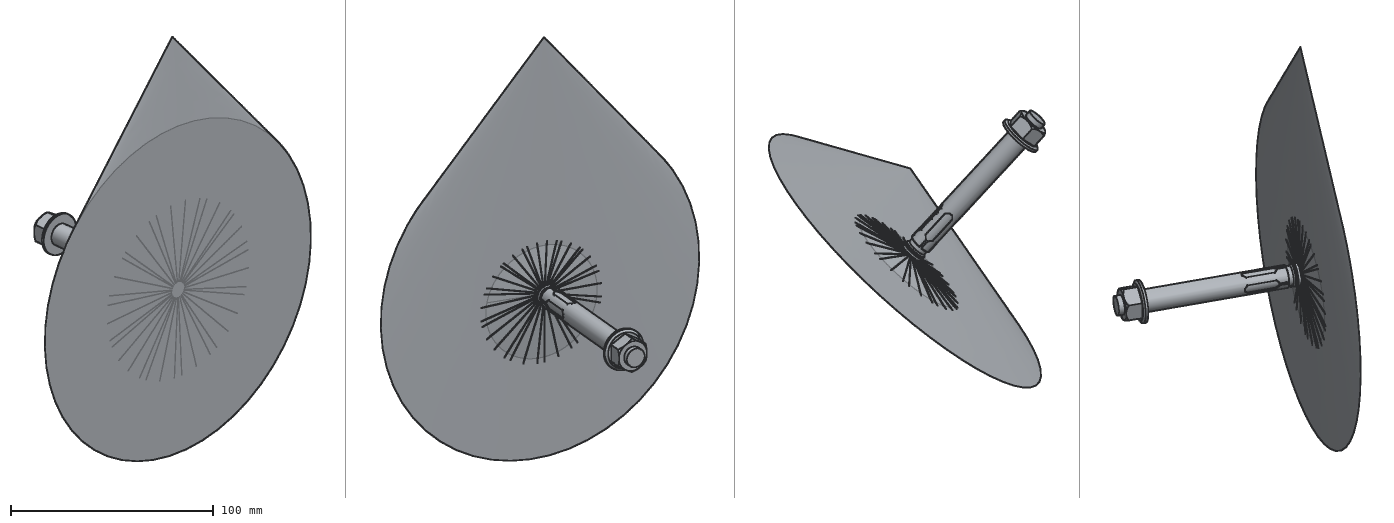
import cadquery as cq
import math

overall_height = 226
overall_length = 99.0
stud_diameter = 10.0

disc_diameter = 178.9
disc_radius = disc_diameter / 2
tip_height = overall_height - disc_radius
tip_rise = 4.0

boss_rise = 4.5
boss_slope = 0.1
rib_rise = 0.2
rib_width = 0.2
rib_inner_radius = 4.3
rib_step = 12
rib_runs = ((84, 2), (66, 3), (38, 3), (8, 3), (-21, 4), (-63, 3))

neck_diameter = 8.8
collar_diameter = 11.5
collar_end = -5.2
collar_length = 3.8
collar_taper_length = 1.0
collar_groove_width = 0.7
collar_groove_depth = 0.35

sleeve_diameter = 11.5
sleeve_bore = 10.2
sleeve_end = -11.5
slot_count = 4
slot_start = -34.4
slot_end = -16.5
slot_width = 4.7
slot_corner = 1.5
slit_width = 1.1

nut_start = -96.0
nut_end = -85.7
nut_across_flats = 15.5
nut_chamfer = 1.1
flange_diameter = 21.7
flange_rim = 1.4
flange_slope_length = 1.0
flange_top_diameter = 19.0


def cylinder_x(diameter, start, end):
    return cq.Workplane("YZ", origin=(start, 0, 0)).circle(diameter / 2).extrude(end - start)


def shallow_cone(rise):
    """Cone of the boss slope, with its base at x = 0 and its point toward -X."""
    return (
        cq.Workplane("XY")
        .polyline([(0, 0), (-rise, 0), (0, rise / boss_slope)])
        .close()
        .revolve(360, (0, 0, 0), (1, 0, 0))
    )


def make_disc():
    base = cq.Wire.makeCircle(disc_radius, cq.Vector(0, 0, 0), cq.Vector(1, 0, 0))
    tip = cq.Vertex.makeVertex(-tip_rise, 0, tip_height)
    return cq.Workplane(cq.occ_impl.shapes.loft(base, tip, cap=True, ruled=True))


def make_ribs():
    """Separate radial wedges, mirrored about the XZ plane, parallel to the boss surface."""
    ridge_rise = boss_rise + rib_rise
    rib = (
        cq.Workplane("XY", origin=(0, 0, -rib_width / 2))
        .polyline(
            [
                (0, rib_inner_radius),
                (boss_slope * rib_inner_radius - ridge_rise, rib_inner_radius),
                (0, ridge_rise / boss_slope),
            ]
        )
        .close()
        .extrude(rib_width)
    )
    ribs = []
    for first_angle, count in rib_runs:
        for index in range(count):
            angle = first_angle - index * rib_step
            for side_angle in (angle, 180 - angle):
                ribs.append(rib.rotate((0, 0, 0), (1, 0, 0), side_angle).val())
    return ribs


def make_stud():
    collar_start = collar_end - collar_length
    collar_radius = collar_diameter / 2
    groove_radius = collar_radius - collar_groove_depth
    groove_start = collar_start + (collar_length - collar_groove_width) / 2
    groove_end = groove_start + collar_groove_width
    collar = (
        cq.Workplane("XY")
        .polyline(
            [
                (collar_start, 0),
                (collar_start, stud_diameter / 2),
                (collar_start + collar_taper_length, collar_radius),
                (groove_start, collar_radius),
                (groove_start, groove_radius),
                (groove_end, groove_radius),
                (groove_end, collar_radius),
                (collar_end, collar_radius),
                (collar_end, 0),
            ]
        )
        .close()
        .revolve(360, (0, 0, 0), (1, 0, 0))
    )
    shank = cylinder_x(stud_diameter, -overall_length, collar_start)
    neck = cylinder_x(neck_diameter, collar_end, 0)
    stud = make_disc().union(shallow_cone(boss_rise)).union(neck).union(collar).union(shank)
    return cq.Workplane(stud.val().fuse(*make_ribs()))


def make_sleeve():
    sleeve = cylinder_x(sleeve_diameter, nut_end, sleeve_end)
    sleeve = sleeve.cut(cylinder_x(sleeve_bore, nut_end, sleeve_end))
    slot = (
        cq.Workplane("XY")
        .center((slot_start + slot_end) / 2, 0)
        .rect(slot_end - slot_start, slot_width)
        .extrude(sleeve_diameter)
        .edges("|Z")
        .chamfer(slot_corner)
    )
    slit_start = slot_end - slot_corner
    slit = (
        cq.Workplane("XY")
        .center((slit_start + sleeve_end) / 2, 0)
        .rect(sleeve_end - slit_start, slit_width)
        .extrude(sleeve_diameter)
    )
    opening = slot.union(slit)
    for index in range(slot_count):
        sleeve = sleeve.cut(opening.rotate((0, 0, 0), (1, 0, 0), index * 360 / slot_count))
    return sleeve


def make_nut():
    across_corners = nut_across_flats / math.cos(math.pi / 6)
    hexagon = (
        cq.Workplane("YZ", origin=(nut_start, 0, 0))
        .polygon(6, across_corners)
        .extrude(nut_end - nut_start)
        .rotate((0, 0, 0), (1, 0, 0), 90)
    )
    chamfer_cylinder = cylinder_x(across_corners, nut_start, nut_end).faces("<X").chamfer(nut_chamfer)
    flange_start = nut_end - flange_rim
    flange = (
        cq.Workplane("XY")
        .polyline(
            [
                (flange_start - flange_slope_length, 0),
                (flange_start - flange_slope_length, flange_top_diameter / 2),
                (flange_start, flange_diameter / 2),
                (nut_end, flange_diameter / 2),
                (nut_end, 0),
            ]
        )
        .close()
        .revolve(360, (0, 0, 0), (1, 0, 0))
    )
    bore = cylinder_x(stud_diameter, nut_start, nut_end)
    return hexagon.intersect(chamfer_cylinder).union(flange).cut(bore)


stud = make_stud()
sleeve = make_sleeve()
nut = make_nut()

result = cq.Compound.makeCompound([stud.val(), sleeve.val(), nut.val()])